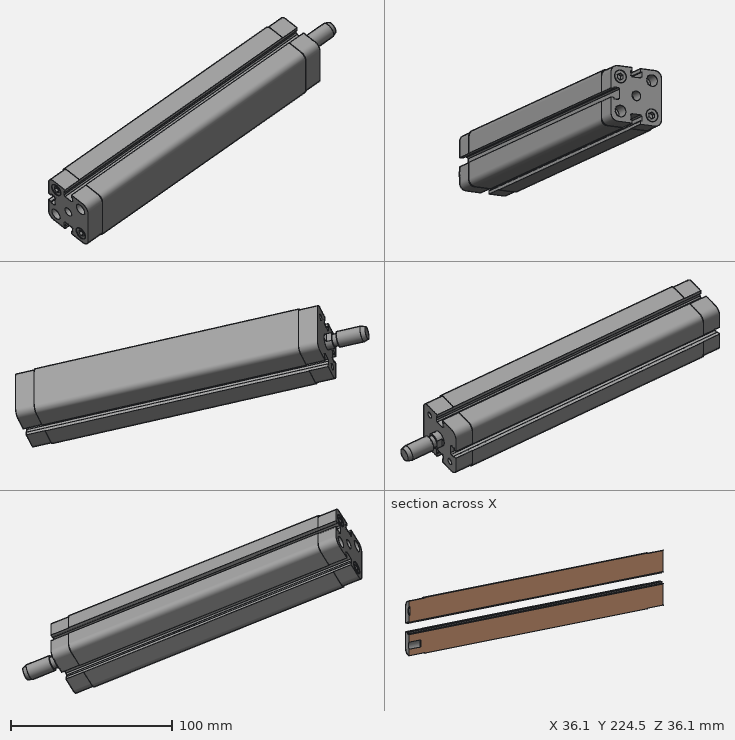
import cadquery as cq

total_length = 224.5
body_size = 36.1
rod_length = 26.5
body_length = total_length - rod_length
cap_length = 12.3
cap_size = 35.7
cap_corner_radius = 4.7
barrel_corner_radius = 4.0

slot_mouth_width = 5.8
slot_inner_width = 7.6
slot_depth = 6.3
slot_lip = 2.5
slot_corner_chamfer = 1.0

hole_spacing = 22.2
through_hole_diameter = 4.0
counterbore_diameter = 7.5
counterbore_depth = 9.0
screw_recess_diameter = 8.0
screw_recess_depth = 0.5
socket_across_flats = 3.8
socket_depth = 3.4
centre_hole_diameter = 6.0
centre_hole_depth = 9.0

rod_diameter = 10.0
neck_diameter = 7.9
neck_length = 3.1
thread_length = 18.6
tip_chamfer_length = 3.0
tip_diameter = 8.0
wrench_flat_width = 7.9
flat_runout_length = (rod_diameter - wrench_flat_width) / 2

half_size = body_size / 2
half_spacing = hole_spacing / 2


def cylinder(diameter, start, length, x=0.0, z=0.0):
    """Cylinder along +Y from Y = start."""
    return cq.Workplane(cq.Solid.makeCylinder(
        diameter / 2, length, cq.Vector(x, start, z), cq.Vector(0, 1, 0)))


def slot_cutter(angle):
    """T-slot in the top side, turned about Y by the angle in degrees."""
    mouth_x = slot_mouth_width / 2
    inner_x = slot_inner_width / 2
    lip_z = half_size - slot_lip
    floor_z = half_size - slot_depth
    right_side = [
        (mouth_x, half_size),
        (mouth_x, lip_z),
        (inner_x, lip_z),
        (inner_x, floor_z),
    ]
    left_side = [(-x, z) for x, z in reversed(right_side)]
    slot = cq.Workplane("XZ").polyline(right_side + left_side).close().extrude(-body_length)
    slot = slot.edges("|Y and <Z").chamfer(slot_corner_chamfer)
    return slot.rotate((0, 0, 0), (0, 1, 0), angle)


def slotted_block(start, length, size, corner_radius):
    """Square length of profile with rounded corners and its three slots."""
    block = cq.Workplane("XY").box(size, length, size)
    block = block.edges("|Y").fillet(corner_radius).translate((0, start + length / 2, 0))
    for angle in (0, 180, -90):
        block = block.cut(slot_cutter(angle))
    return block


def make_body():
    rear_cap_start = body_length - cap_length
    barrel_length = rear_cap_start - cap_length
    body = slotted_block(cap_length, barrel_length, body_size, barrel_corner_radius)
    for start in (0, rear_cap_start):
        cap = slotted_block(start, cap_length, cap_size, cap_corner_radius)
        body = body.union(cap, clean=False)
    return body


def cut_through_holes(body):
    for side in (-1, 1):
        x = z = side * half_spacing
        body = body.cut(cylinder(through_hole_diameter, 0, body_length, x, z), clean=False)
        body = body.cut(cylinder(counterbore_diameter, 0, counterbore_depth, x, z), clean=False)
    return body


def cut_screws(body):
    """Hex-socket screw heads, slightly recessed, in the other two corners of the front face."""
    for side in (-1, 1):
        x = side * half_spacing
        z = -x
        recess = cylinder(screw_recess_diameter, 0, screw_recess_depth, x, z)
        socket = (
            cq.Workplane("XZ")
            .polygon(6, socket_across_flats, circumscribed=True)
            .extrude(-socket_depth)
            .translate((x, 0, z))
        )
        body = body.cut(recess.union(socket), clean=False)
    return body


def make_rod():
    """Rod with two wrench flats at its root, an undercut neck and a chamfered tip."""
    tip_start = total_length - tip_chamfer_length
    thread_start = total_length - thread_length
    neck_start = thread_start - neck_length
    profile = [
        (0, body_length),
        (rod_diameter / 2, body_length),
        (rod_diameter / 2, neck_start),
        (neck_diameter / 2, neck_start),
        (neck_diameter / 2, thread_start),
        (rod_diameter / 2, thread_start),
        (rod_diameter / 2, tip_start),
        (tip_diameter / 2, total_length),
        (0, total_length),
    ]
    rod = cq.Workplane("XY").polyline(profile).close().revolve(360, (0, 0, 0), (0, 1, 0))
    flat_x = wrench_flat_width / 2
    outer_x = rod_diameter / 2
    runout_end = body_length + flat_runout_length
    flat = (
        cq.Workplane("XY")
        .polyline([
            (flat_x, neck_start),
            (flat_x, runout_end),
            (outer_x, body_length),
            (outer_x, neck_start),
        ])
        .close()
        .extrude(outer_x, both=True)
    )
    return rod.cut(flat).cut(flat.mirror("YZ"))


body = cut_screws(cut_through_holes(make_body()))
body = body.cut(cylinder(centre_hole_diameter, 0, centre_hole_depth), clean=False)
result = body.union(make_rod(), clean=False)